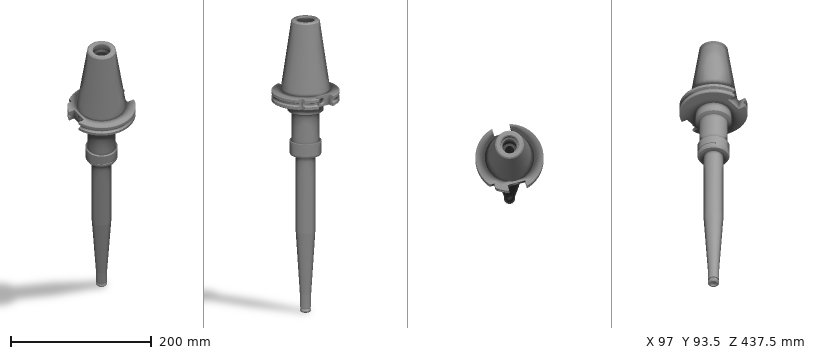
import cadquery as cq
import math

length = 437.5

gauge_diameter = 70.0
taper_ratio = 7 / 24
gauge_z = 335.5
taper_top_diameter = gauge_diameter - taper_ratio * (length - gauge_z)
taper_edge_chamfer = 1.8

flange_diameter = 97.0
flange_top = 332.5
flange_bottom = 317.0
flange_edge_chamfer = 1.0
groove_floor_diameter = 90.5
groove_floor_width = 3.0
groove_flank_angle = 25.0
groove_z = 324.5

relief_height = 1.5
relief_depth = 0.5

slot_width = 26.0
front_slot_floor = 37.5
back_slot_floor = 35.5

notch_x = 30.5
notch_y = 30.5

screw_diameter = 7.0
screw_mouth_diameter = 10.0
screw_depth = 6.5
screw_tip_depth = 2.0

collar_diameter = 51.0
collar_bottom = 302.5
collar_cone_bottom = 299.8
body_diameter = 40.3
sleeve_diameter = 46.0
sleeve_top = 257.0
sleeve_bottom = 236.5
sleeve_chamfer_width = 1.5
sleeve_chamfer_height = 2.5

stem_diameter = 28.0
stem_taper_top = 120.8
nose_diameter = 16.0
nose_top = 27.0
nose_bottom = 7.0
neck_diameter = 13.0
lip_height = 5.3
lip_bevel_height = 1.8

mark_z = 243.5
mark_height = 2.5
mark_depth = 1.0
mark_angle = 90.0

mouth_diameter = 28.0
pilot_diameter = 25.0
pilot_depth = 11.5
thread_diameter = 20.5
thread_depth = 48.0
step_diameter = 13.0
step_depth = 105.0
coolant_diameter = 9.0


def revolve_profile(points, angle=360):
    """Revolve a closed (radius, z) outline about the Z axis."""
    return cq.Workplane("XZ").polyline(points).close().revolve(angle, (0, 0, 0), (0, 1, 0))


def box_between(x_range, y_range, z_range):
    """Axis-aligned box spanning the given ranges."""
    (x0, x1), (y0, y1), (z0, z1) = x_range, y_range, z_range
    return cq.Workplane("XY").box(x1 - x0, y1 - y0, z1 - z0, centered=False).translate((x0, y0, z0))


def outer_body():
    """Full outline of the holder from the shank top down to the nose lip."""
    gauge_radius = gauge_diameter / 2
    top_radius = taper_top_diameter / 2
    flange_radius = flange_diameter / 2
    collar_radius = collar_diameter / 2
    body_radius = body_diameter / 2
    sleeve_radius = sleeve_diameter / 2
    stem_radius = stem_diameter / 2
    nose_radius = nose_diameter / 2
    neck_radius = neck_diameter / 2
    chamfered_top_radius = top_radius - taper_edge_chamfer
    chamfer_bottom_radius = top_radius + taper_edge_chamfer * taper_ratio / 2
    return revolve_profile([
        (0, length),
        (chamfered_top_radius, length),
        (chamfer_bottom_radius, length - taper_edge_chamfer),
        (gauge_radius, gauge_z),
        (gauge_radius, flange_top + relief_height),
        (gauge_radius - relief_depth, flange_top + relief_height),
        (gauge_radius - relief_depth, flange_top),
        (flange_radius - flange_edge_chamfer, flange_top),
        (flange_radius, flange_top - flange_edge_chamfer),
        (flange_radius, flange_bottom + flange_edge_chamfer),
        (flange_radius - flange_edge_chamfer, flange_bottom),
        (collar_radius - relief_depth, flange_bottom),
        (collar_radius - relief_depth, flange_bottom - relief_height),
        (collar_radius, flange_bottom - relief_height),
        (collar_radius, collar_bottom),
        (body_radius, collar_cone_bottom),
        (body_radius, sleeve_top),
        (sleeve_radius, sleeve_top),
        (sleeve_radius, sleeve_bottom + sleeve_chamfer_height),
        (sleeve_radius - sleeve_chamfer_width, sleeve_bottom),
        (stem_radius, sleeve_bottom),
        (stem_radius, stem_taper_top),
        (nose_radius, nose_top),
        (nose_radius, nose_bottom),
        (neck_radius, nose_bottom),
        (neck_radius, lip_height),
        (nose_radius, lip_height - lip_bevel_height),
        (nose_radius, lip_bevel_height),
        (neck_radius, 0),
        (0, 0),
    ])


def rim_groove():
    """Flat-bottomed V groove around the flange rim."""
    floor_radius = groove_floor_diameter / 2
    rim_radius = flange_diameter / 2
    half_floor = groove_floor_width / 2
    half_mouth = half_floor + (rim_radius - floor_radius) * math.tan(math.radians(groove_flank_angle))
    return revolve_profile([
        (floor_radius, groove_z - half_floor),
        (rim_radius, groove_z - half_mouth),
        (rim_radius, groove_z + half_mouth),
        (floor_radius, groove_z + half_floor),
    ])


def flange_cuts():
    """Two drive slots and the orientation notch, through the flange height."""
    z_range = (flange_bottom, flange_top)
    slot_x = (-slot_width / 2, slot_width / 2)
    front_slot = box_between(slot_x, (-flange_diameter, -front_slot_floor), z_range)
    back_slot = box_between(slot_x, (back_slot_floor, flange_diameter), z_range)
    notch = box_between((-flange_diameter, -notch_x), (-flange_diameter, -notch_y), z_range)
    return front_slot.union(back_slot).union(notch)


def screw_hole():
    """Blind hole with a 45 degree mouth and a drilled tip, running from the front slot floor toward +Y."""
    radius = screw_diameter / 2
    mouth_radius = screw_mouth_diameter / 2
    mouth_depth = mouth_radius - radius
    hole = revolve_profile([
        (0, 0),
        (mouth_radius, 0),
        (radius, -mouth_depth),
        (radius, -screw_depth),
        (0, -screw_depth - screw_tip_depth),
    ])
    return hole.rotate((0, 0, 0), (1, 0, 0), 90).translate((0, -front_slot_floor, groove_z))


def bore():
    """Pilot bore and thread bore with 45 degree mouths, then a stepped coolant passage through the nose."""
    mouth_radius = mouth_diameter / 2
    pilot_radius = pilot_diameter / 2
    thread_radius = thread_diameter / 2
    step_radius = step_diameter / 2
    coolant_radius = coolant_diameter / 2
    pilot_bottom = length - pilot_depth
    thread_floor = length - thread_depth
    step_floor = length - step_depth
    return revolve_profile([
        (0, length),
        (mouth_radius, length),
        (pilot_radius, length - (mouth_radius - pilot_radius)),
        (pilot_radius, pilot_bottom),
        (thread_radius, pilot_bottom - (pilot_radius - thread_radius)),
        (thread_radius, thread_floor),
        (step_radius, thread_floor),
        (step_radius, step_floor),
        (coolant_radius, step_floor),
        (coolant_radius, 0),
        (0, 0),
    ])


def sleeve_mark():
    """Arc groove revolved, then turned so that its middle faces +X."""
    outer_radius = sleeve_diameter / 2
    inner_radius = outer_radius - mark_depth
    bottom = mark_z - mark_height / 2
    top = mark_z + mark_height / 2
    arc = revolve_profile(
        [(inner_radius, bottom), (outer_radius, bottom), (outer_radius, top), (inner_radius, top)],
        mark_angle,
    )
    middle = arc.val().Center()
    return arc.rotate((0, 0, 0), (0, 0, 1), -math.degrees(math.atan2(middle.y, middle.x)))


result = outer_body()
for cut in (rim_groove(), flange_cuts(), screw_hole(), bore(), sleeve_mark()):
    result = result.cut(cut)